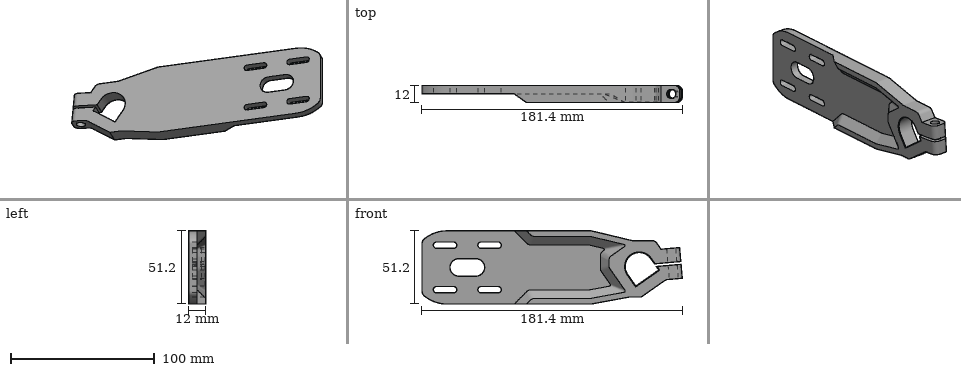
import cadquery as cq
import math

overall_length = 181.36
plate_width = 51.2
plate_thickness = 6.0
arm_thickness = 12.0
end_corner_radius = 25.0
end_corner_length = 17.5
end_edge_fillet = 4.5

mount_center_x = 31.6
mount_pitch = 31.0
slot_travel = 12.0
screw_slot_width = 4.2
shaft_slot_width = 12.0

bore_x = 151.3
bore_z = 0.6
bore_radius = 9.7
bore_angle = 35.0
bore_chamfer = 0.5

clamp_angle = 5.0
clamp_half_width = 10.8
clamp_slit = 1.8
clamp_tip_fillet = 4.0
bolt_diameter = 6.3
bolt_to_tip = 6.0

neck_x = 117.7
neck_top_end_x = 146.6
head_top_z = 18.7
neck_bottom_end_x = 144.4
head_bottom_z = -20.7
head_upper_distance = 19.4
head_lower_distance = 18.2
neck_fillet = 5.0
head_top_fillet = 3.0
shoulder_fillet = 4.0
lower_root_fillet = 5.0

recess_start_x = 64.2
recess_depth = arm_thickness - plate_thickness
rim_width = 4.0
boss_upper_distance = 17.3
boss_lower_distance = 17.6
boss_left_distance = 21.1
ramp_angle = 45.0
recess_fillet = 6.0
recess_tip_fillet = 1.5

half_width = plate_width / 2
clamp_tilt = math.radians(clamp_angle)
clamp_reach = (
    overall_length - bore_x - clamp_half_width * math.sin(clamp_tilt)
) / math.cos(clamp_tilt)


def line_at(distance, normal_angle, origin=(bore_x, bore_z)):
    """Line as (nx, nz, c): all points with nx * x + nz * z = c."""
    nx = math.cos(math.radians(normal_angle))
    nz = math.sin(math.radians(normal_angle))
    return nx, nz, nx * origin[0] + nz * origin[1] + distance


def meet(first, second):
    """Point where two lines cross."""
    a, b, c = first
    d, e, f = second
    det = a * e - b * d
    return (c * e - b * f) / det, (a * f - c * d) / det


def shift(line, distance):
    """Line moved along its normal."""
    return line[0], line[1], line[2] + distance


def corner_points(lines):
    """Corners of the closed polygon bounded by consecutive lines."""
    return [meet(first, second) for first, second in zip(lines, lines[1:] + lines[:1])]


def slope_angle(start, end):
    """Direction from one point to another, in degrees."""
    return math.degrees(math.atan2(end[1] - start[1], end[0] - start[0]))


def front_plane(y=0.0):
    """Sketch plane parallel to XZ at a depth y, extruding towards the front (-Y)."""
    return cq.Workplane("XZ", origin=(0, y, 0))


def fillet_nearest(body, x, y, z, radius):
    """Round the edge whose middle is nearest to a point."""
    return body.edges(cq.selectors.NearestToPointSelector((x, y, z))).fillet(radius)


neck_top = (neck_x, half_width)
neck_top_end = (neck_top_end_x, head_top_z)
neck_bottom = (neck_x, -half_width)
neck_bottom_end = (neck_bottom_end_x, head_bottom_z)
top_slope = line_at(0, 90 + slope_angle(neck_top, neck_top_end), neck_top)
bottom_slope = line_at(0, slope_angle(neck_bottom, neck_bottom_end) - 90, neck_bottom)
top_side = line_at(half_width, 90, (0, 0))
bottom_side = line_at(half_width, -90, (0, 0))
head_top = line_at(head_top_z, 90, (0, 0))
head_bottom = line_at(-head_bottom_z, -90, (0, 0))
head_upper = line_at(head_upper_distance, bore_angle)
head_lower = line_at(head_lower_distance, bore_angle - 90)
clamp_top = line_at(clamp_half_width, clamp_angle + 90)
clamp_bottom = line_at(clamp_half_width, clamp_angle - 90)
clamp_tip = line_at(clamp_reach, clamp_angle)


def make_blank():
    """Full-thickness outline of the arm with its rounded corners."""
    arc_center_z = half_width - end_corner_radius
    corner_z = arc_center_z + math.sqrt(end_corner_radius**2 - end_corner_length**2)
    mid_angle = (math.pi / 2 + math.atan2(corner_z - arc_center_z, -end_corner_length)) / 2
    mid_x = end_corner_length + end_corner_radius * math.cos(mid_angle)
    mid_z = arc_center_z + end_corner_radius * math.sin(mid_angle)
    shoulder = meet(head_top, head_upper)
    upper_root = meet(head_upper, clamp_top)
    lower_root = meet(head_lower, clamp_bottom)

    blank = (
        front_plane()
        .moveTo(0, corner_z)
        .threePointArc((mid_x, mid_z), (end_corner_length, half_width))
        .lineTo(*neck_top)
        .lineTo(*neck_top_end)
        .lineTo(*shoulder)
        .lineTo(*upper_root)
        .lineTo(*meet(clamp_top, clamp_tip))
        .lineTo(*meet(clamp_tip, clamp_bottom))
        .lineTo(*lower_root)
        .lineTo(*meet(head_lower, head_bottom))
        .lineTo(*neck_bottom_end)
        .lineTo(*neck_bottom)
        .lineTo(end_corner_length, -half_width)
        .threePointArc((mid_x, -mid_z), (0, -corner_z))
        .close()
        .extrude(arm_thickness)
    )
    rounded_corners = [
        ((0, corner_z), end_edge_fillet),
        ((0, -corner_z), end_edge_fillet),
        (neck_top, neck_fillet),
        (neck_bottom, neck_fillet),
        (neck_top_end, head_top_fillet),
        (shoulder, shoulder_fillet),
        (lower_root, lower_root_fillet),
    ]
    for (x, z), radius in rounded_corners:
        blank = fillet_nearest(blank, x, -arm_thickness / 2, z, radius)

    tip_x = bore_x + clamp_reach * math.cos(clamp_tilt)
    tip_z = bore_z + clamp_reach * math.sin(clamp_tilt)
    for y in (0, -arm_thickness):
        blank = fillet_nearest(blank, tip_x, y, tip_z, clamp_tip_fillet)
    return blank


def sloped_edge_at(recess, floor_corner):
    """Edge between two recess walls that starts at a corner of the floor."""
    foot = cq.Vector(floor_corner[0], -plate_thickness, floor_corner[1])

    def distance_to_foot(edge):
        return min((end - foot).Length for end in (edge.startPoint(), edge.endPoint()))

    return min(recess.edges("not #Y").vals(), key=distance_to_foot)


def make_recess():
    """Tool for the recess: floor outline flaring at 45 degrees, open towards the plate end."""
    floor_inset = -(rim_width + recess_depth)
    ramp_top = line_at(0, ramp_angle, (recess_start_x, half_width))
    ramp_bottom = line_at(0, -ramp_angle, (recess_start_x, -half_width))
    side_top = shift(top_side, floor_inset)
    side_bottom = shift(bottom_side, floor_inset)
    taper_top = shift(top_slope, floor_inset)
    taper_bottom = shift(bottom_slope, floor_inset)
    boss_upper = line_at(-boss_upper_distance - recess_depth, bore_angle - 90)
    boss_left = line_at(-boss_left_distance - recess_depth, 0)
    boss_lower = line_at(-boss_lower_distance - recess_depth, bore_angle)
    beyond_top = line_at(plate_width, 90, (0, 0))
    beyond_bottom = line_at(plate_width, -90, (0, 0))
    beyond_end = line_at(plate_width, 180, (0, 0))

    walls = [
        beyond_top, ramp_top, side_top, taper_top, boss_upper, boss_left,
        boss_lower, taper_bottom, side_bottom, ramp_bottom, beyond_bottom, beyond_end,
    ]
    rim_walls = [shift(wall, recess_depth) for wall in walls]
    recess = (
        front_plane(-plate_thickness)
        .polyline(corner_points(walls))
        .close()
        .workplane(offset=recess_depth)
        .polyline(corner_points(rim_walls))
        .close()
        .loft(ruled=True)
    )

    tips = [meet(taper_top, boss_upper), meet(boss_lower, taper_bottom)]
    corners = [
        meet(ramp_top, side_top), meet(side_top, taper_top), meet(boss_upper, boss_left),
        meet(boss_left, boss_lower), meet(taper_bottom, side_bottom), meet(side_bottom, ramp_bottom),
    ]
    rounded = [(point, recess_fillet) for point in corners]
    rounded += [(point, recess_tip_fillet) for point in tips]
    for point, radius in rounded:
        edge = sloped_edge_at(recess, point)
        recess = recess.newObject([edge]).fillet(radius)
    return recess


def make_mount_slots():
    """Four screw slots around one wide slot, all running along X."""
    half_pitch = mount_pitch / 2
    corners = [(mount_center_x + i * half_pitch, j * half_pitch) for i in (-1, 1) for j in (-1, 1)]
    screws = front_plane().pushPoints(corners).slot2D(slot_travel + screw_slot_width, screw_slot_width)
    shaft = front_plane().center(mount_center_x, 0).slot2D(slot_travel + shaft_slot_width, shaft_slot_width)
    return screws.extrude(arm_thickness).union(shaft.extrude(arm_thickness))


def bore_profile(plane, radius):
    """Half circle on top of half a square."""
    return (
        plane.moveTo(-radius, -radius)
        .lineTo(radius, -radius)
        .lineTo(radius, 0)
        .threePointArc((0, radius), (-radius, 0))
        .close()
    )


def make_bore():
    """Half-round, half-square bore with a chamfered front rim."""
    chamfer_start = bore_chamfer - arm_thickness
    straight = bore_profile(front_plane(), bore_radius).extrude(arm_thickness)
    rim = bore_profile(front_plane(chamfer_start), bore_radius).workplane(offset=bore_chamfer)
    rim = bore_profile(rim, bore_radius + bore_chamfer).loft(ruled=True)
    turned = straight.union(rim).rotate((0, 0, 0), (0, 1, 0), -bore_angle)
    return turned.translate((bore_x, 0, bore_z))


def make_clamp_cuts():
    """Slit from the bore to the tip, and the bolt hole crossing it."""
    mid_y = -arm_thickness / 2
    slit_length = 2 * clamp_reach
    slit = cq.Workplane("XY").box(slit_length, arm_thickness, clamp_slit, centered=(False, True, True))
    bolt = (
        cq.Workplane("XY", origin=(clamp_reach - bolt_to_tip, 0, -plate_width / 2))
        .circle(bolt_diameter / 2)
        .extrude(plate_width)
    )
    cuts = slit.union(bolt).rotate((0, 0, 0), (0, 1, 0), -clamp_angle)
    return cuts.translate((bore_x, mid_y, bore_z))


result = (
    make_blank()
    .cut(make_recess())
    .cut(make_mount_slots())
    .cut(make_bore())
    .cut(make_clamp_cuts())
)